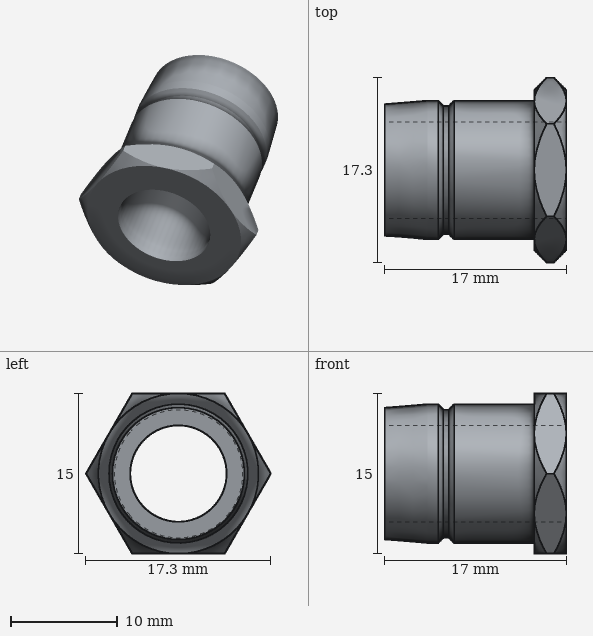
import cadquery as cq
import math

total_length = 17.0
head_length = 3.0
across_corners = 17.32
body_diameter = 13.0
bore_diameter = 9.0
nose_diameter = 12.35
groove_diameter = 12.0
nose_length = 4.0
groove_start = 5.0
groove_side_length = 0.5
groove_floor_length = 0.5

across_flats = across_corners * math.cos(math.radians(30))
head_start = total_length - head_length
body_radius = body_diameter / 2
nose_radius = nose_diameter / 2
groove_radius = groove_diameter / 2
corner_radius = across_corners / 2
flat_radius = across_flats / 2
head_chamfer = corner_radius - flat_radius
floor_start = groove_start + groove_side_length
floor_end = floor_start + groove_floor_length
groove_end = floor_end + groove_side_length


def make_body():
    """Round body with a tapered nose and a ring groove with sloping sides."""
    profile = (
        cq.Workplane("XY")
        .moveTo(0, 0)
        .lineTo(0, nose_radius)
        .lineTo(nose_length, body_radius)
        .lineTo(groove_start, body_radius)
        .lineTo(floor_start, groove_radius)
        .lineTo(floor_end, groove_radius)
        .lineTo(groove_end, body_radius)
        .lineTo(total_length, body_radius)
        .lineTo(total_length, 0)
        .close()
    )
    return profile.revolve(360, (0, 0, 0), (1, 0, 0))


def make_head():
    """Hexagon with corners along Y, both ends turned down by 45 degree cones."""
    hexagon = (
        cq.Workplane("YZ", origin=(head_start, 0, 0))
        .polygon(6, across_corners)
        .extrude(head_length)
    )
    turned_blank = (
        cq.Workplane("YZ", origin=(head_start, 0, 0))
        .circle(corner_radius)
        .extrude(head_length)
        .edges()
        .chamfer(head_chamfer)
    )
    return hexagon.intersect(turned_blank)


bore = cq.Workplane("YZ").circle(bore_diameter / 2).extrude(total_length)
result = make_body().union(make_head()).cut(bore)